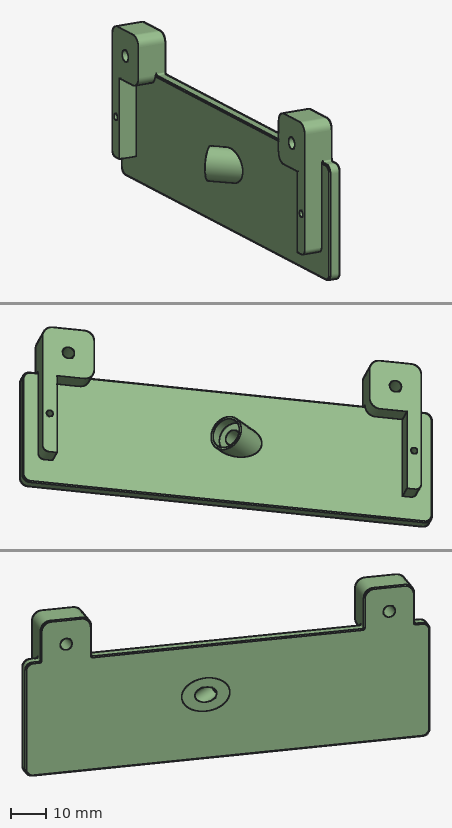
import cadquery as cq
import math


panel_length = 118.8
panel_height = 34.2
panel_thickness = 3.6
panel_corner_radius = 2.3
edge_chamfer = 0.4
inside_corner_radius = 0.5

total_height = 46.2
ear_size = 15.0
ear_depth = 9.0
ear_corner_radius = 3.0
ear_inset = 4.5
ear_hole_diameter = 3.5

leg_width = 4.2
leg_bottom = 7.4
leg_corner_radius = 1.8
leg_hole_diameter = 1.9
leg_hole_depth = 3.6

nozzle_angle = 45
nozzle_diameter = 10.0
nozzle_bore_diameter = 8.7
nozzle_bore_depth = 3.5
nozzle_hole_diameter = 4.5
nozzle_reach = 11.4
nozzle_mouth_x = -1.4
nozzle_length = 23.8

tolerance = 0.01

ear_outer_x = panel_length / 2 - ear_inset
ear_inner_x = ear_outer_x - ear_size
ear_bottom = total_height - ear_size
ear_center_x = ear_outer_x - ear_size / 2
ear_center_z = total_height - ear_size / 2
leg_inner_x = ear_outer_x - leg_width
leg_center_x = ear_outer_x - leg_width / 2
port_z = (leg_bottom + ear_bottom) / 2

slant = math.radians(nozzle_angle)
nozzle_mouth_y = nozzle_diameter / 2 * math.cos(slant) - nozzle_reach
nozzle_mouth = cq.Plane(
    origin=(nozzle_mouth_x, nozzle_mouth_y, port_z),
    xDir=(0, 0, 1),
    normal=(math.sin(slant), math.cos(slant), 0),
)


def block_between(x_min, x_max, z_min, z_max, depth):
    """Block that stands on the back plane and reaches forward by depth."""
    block = cq.Workplane("XY").box(x_max - x_min, depth, z_max - z_min, centered=False)
    return block.translate((x_min, -depth, z_min))


def hole_from(x, z, diameter, y_start, depth):
    """Round cutter along Y that starts at y_start and runs backward by depth."""
    start = cq.Workplane("XZ", origin=(x, y_start, z))
    return start.circle(diameter / 2).extrude(-depth)


def on_both_sides(shape):
    """The shape together with its mirror image across the middle of the panel."""
    return shape.union(shape.mirror("YZ"))


def is_inside_corner(edge):
    """True for the edges along Y where an ear rises from the top of the panel."""
    center = edge.Center()
    at_panel_top = abs(center.z - panel_height) < tolerance
    return at_panel_top and abs(center.x) < ear_outer_x + tolerance


def make_sheet():
    """Panel and the back layer of both ears as one sheet with chamfered rims."""
    panel = block_between(-panel_length / 2, panel_length / 2, 0, panel_height, panel_thickness)
    panel = panel.edges("|Y").fillet(panel_corner_radius)
    tab = block_between(ear_inner_x, ear_outer_x, ear_bottom, total_height, panel_thickness)
    tab = tab.edges("|Y and >Z").fillet(ear_corner_radius)
    sheet = panel.union(on_both_sides(tab))
    sheet = sheet.edges("|Y").filter(is_inside_corner).fillet(inside_corner_radius)
    return sheet.faces("<Y or >Y").chamfer(edge_chamfer)


def make_bracket():
    """Right-hand ear and leg in front of the rear chamfer."""
    ear = block_between(ear_inner_x, ear_outer_x, ear_bottom, total_height, ear_depth)
    ear = ear.edges("|Y").edges(">Z or <X").fillet(ear_corner_radius)
    leg = block_between(leg_inner_x, ear_outer_x, leg_bottom, ear_center_z, ear_depth)
    leg = leg.edges("|Y and <Z and >X").fillet(leg_corner_radius)
    rear = block_between(ear_inner_x, ear_outer_x, leg_bottom, total_height, edge_chamfer)
    return ear.union(leg).cut(rear)


def nozzle_cylinder(diameter, length):
    """Cylinder along the slanted axis, from the mouth into the part."""
    return cq.Workplane(nozzle_mouth).circle(diameter / 2).extrude(length)


def make_nozzle_blank():
    """Outer form of the nozzle, from its mouth to the back face of the panel."""
    front_space = block_between(-panel_length / 2, panel_length / 2, 0, panel_height, nozzle_reach)
    return nozzle_cylinder(nozzle_diameter, nozzle_length).intersect(front_space)


def make_housing():
    """Panel with its two brackets, their holes and the matching hole for the nozzle."""
    housing = make_sheet().union(on_both_sides(make_bracket()))
    ear_hole = hole_from(ear_center_x, ear_center_z, ear_hole_diameter, -ear_depth, ear_depth)
    leg_hole = hole_from(leg_center_x, port_z, leg_hole_diameter, -ear_depth, leg_hole_depth)
    housing = housing.cut(on_both_sides(ear_hole.union(leg_hole)))
    return housing.cut(make_nozzle_blank())


def make_nozzle():
    """Slanted tube with a wide mouth and a narrow hole that runs out at the back."""
    tube = make_nozzle_blank()
    tube = tube.cut(nozzle_cylinder(nozzle_bore_diameter, nozzle_bore_depth))
    return tube.cut(nozzle_cylinder(nozzle_hole_diameter, nozzle_length))


housing = make_housing()
nozzle = make_nozzle()
result = cq.Compound.makeCompound([housing.val(), nozzle.val()])